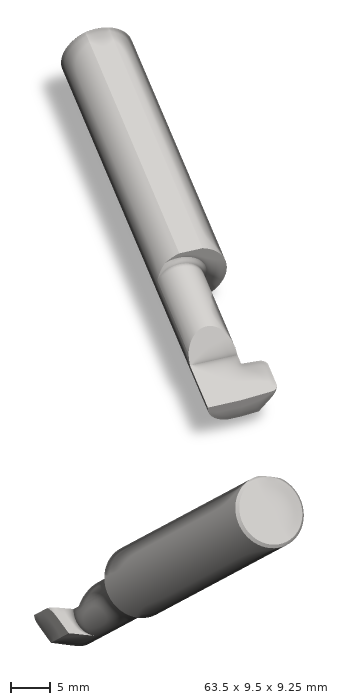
import cadquery as cq
import math

total_length = 63.5
shank_radius = 4.75
shank_length = 40.75
flat_height = 4.5
end_chamfer = 0.4

neck_radius = 3.2
neck_offset = -1.65
root_chamfer = 0.6

rake_height = 0.0
ramp_end = 55.8
ramp_angle = 46.0

head_back = 57.4
head_side_angle = 4.5
tip_start = -0.4
head_corner_radius = 1.0
relief_angle = 3.0
flank_angle = 40.0
head_margin = 2 * shank_radius
neck_end = head_back + 1.3


def bar(radius, start, end, y=0.0):
    """Round bar along X from start to end."""
    return cq.Workplane("YZ", origin=(start, y, 0)).circle(radius).extrude(end - start)


def shank():
    """Chamfered round shank with a clamping flat along its top."""
    body = bar(shank_radius, 0, shank_length).faces("<X").chamfer(end_chamfer)
    waste = cq.Workplane("XY", origin=(0, 0, flat_height)).box(
        shank_length, 2 * shank_radius, shank_radius, centered=(False, True, False)
    )
    return body.cut(waste)


def neck():
    """Eccentric neck with a conical root, before trimming to the shank radius."""
    cone = (
        cq.Workplane("YZ", origin=(shank_length, neck_offset, 0))
        .circle(neck_radius + root_chamfer)
        .workplane(offset=root_chamfer)
        .circle(neck_radius)
        .loft()
    )
    return bar(neck_radius, shank_length, neck_end, neck_offset).union(cone)


def head():
    """Cutting head reaching out in +Y, with tapered sides that draw in below the rake face."""
    taper = math.tan(math.radians(head_side_angle))
    neck_side = neck_offset + neck_radius
    outline = [
        (head_back, -head_margin),
        (head_back, neck_side),
        (head_back + taper * (shank_radius - neck_side), shank_radius),
        (total_length - taper * (shank_radius - tip_start), shank_radius),
        (total_length, tip_start),
        (total_length, -head_margin),
    ]
    blank = (
        cq.Workplane("XY", origin=(0, 0, rake_height))
        .polyline(outline)
        .close()
        .extrude(-neck_radius, taper=relief_angle)
        .faces(">Y")
        .edges("not #Z")
        .fillet(head_corner_radius)
    )
    underside = rake_height - neck_radius
    flank_run = neck_radius * math.tan(math.radians(flank_angle))
    reach = (
        cq.Workplane("YZ", origin=(head_back, 0, 0))
        .moveTo(neck_offset, rake_height)
        .lineTo(shank_radius, rake_height)
        .lineTo(shank_radius - flank_run, underside)
        .lineTo(neck_offset, underside)
        .close()
        .extrude(total_length - head_back)
    )
    return blank.intersect(bar(neck_radius, head_back, total_length, neck_offset).union(reach))


def rake_cut():
    """Waste above the rake face and its ramp up to the neck."""
    rise = shank_radius
    ramp_run = rise / math.tan(math.radians(ramp_angle))
    return (
        cq.Workplane("XZ")
        .moveTo(ramp_end, rake_height)
        .lineTo(total_length, rake_height)
        .lineTo(total_length, rake_height + rise)
        .lineTo(ramp_end - ramp_run, rake_height + rise)
        .close()
        .extrude(shank_radius, both=True)
    )


shank_envelope = bar(shank_radius, shank_length, total_length)
tool_end = neck().cut(rake_cut()).union(head()).intersect(shank_envelope)
result = shank().union(tool_end)